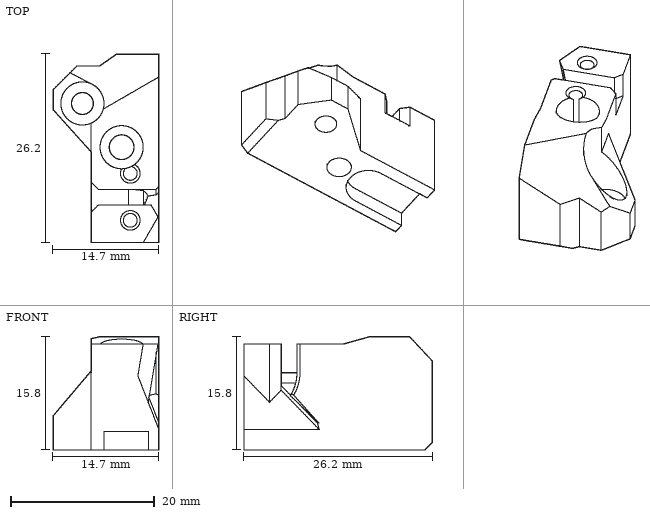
import cadquery as cq
import math

body_width = 9.43
arm_reach = 5.27
length = 26.2
height = 15.8
deck_height = 14.78
deck_end = 13.89
crest_start = 17.53
margin = 2.62

arm_root_y = 12.6
arm_tip_start = 18.45
arm_tip_end = 21.27
arm_back = 24.58
arm_back_left = -1.95
arm_back_right = 1.2
back_edge_left = 3.55
back_edge_chamfer = 1.05

arm_root_height = 11.0
arm_tip_height = 4.8

facet_turn = 30.0
facet_slope = 51.0
facet_y = 23.03

bore_diameter = 6.0
bore_floor = 4.0
arm_bore = (-1.2, 19.34, 3.0)
body_bore = (4.25, 13.25, 3.4)

screw_x = 5.45
screw_rows = (3.1, 9.62)
screw_diameter = 1.9
sink_diameter = 2.72
screw_depth = 6.55

slot_front = 5.25
slot_back = 7.4
slot_floor = 10.8
slot_chamfer = 1.02

channel_left = 1.8
channel_width = 6.18
channel_height = 2.6
channel_end = 10.87
channel_corner = bore_diameter / 2

relief_top_x = 5.2
relief_bend = (7.25, 9.33)
relief_foot = 3.77
relief_run = (body_width - relief_bend[0]) / (relief_bend[1] - relief_foot)
relief_rib = (7.9, 6.47, 7.57)
undercut_turn = 46.0
relief_edge_chamfer = 0.42

pocket_tip = (9.3, 3.56)
pocket_root_y = 5.2
pocket_wall_turn = 30.0
pocket_lean = 9.5
pocket_foot = 2.85


def prism_z(points, bottom, top):
    return cq.Workplane("XY").workplane(offset=bottom).polyline(points).close().extrude(top - bottom)


def prism_x(points, left, right):
    return cq.Workplane("YZ").workplane(offset=left).polyline(points).close().extrude(right - left)


def prism_y(points, front, back):
    return cq.Workplane("XZ").workplane(offset=-front).polyline(points).close().extrude(front - back)


def base_block():
    plan = prism_z(
        [
            (0, 0), (body_width, 0), (body_width, length), (back_edge_left, length),
            (arm_back_right, arm_back), (arm_back_left, arm_back),
            (-arm_reach, arm_tip_end), (-arm_reach, arm_tip_start), (0, arm_root_y),
        ],
        0, height,
    )
    side = prism_x(
        [
            (0, 0), (length - back_edge_chamfer, 0), (length, back_edge_chamfer), (length, height),
            (crest_start, height), (deck_end, deck_height), (0, deck_height),
        ],
        -arm_reach, body_width,
    )
    return plan.intersect(side)


def above_arm():
    rise = (arm_root_height - arm_tip_height) / arm_reach
    outer_x = -arm_reach - margin
    outer_z = arm_tip_height - rise * margin
    top = height + margin
    return prism_y([(0, arm_root_height), (0, top), (outer_x, top), (outer_x, outer_z)], 0, length)


def behind_facet():
    run = length
    drop = run * math.tan(math.radians(facet_slope))
    wedge = prism_x([(0, height), (run, height), (run, height - drop)], -length, length)
    wedge = wedge.rotate((0, 0, 0), (0, 0, 1), facet_turn)
    return wedge.translate((body_width, facet_y, 0))


def stepped_bore(x, y, through_diameter):
    bore = cq.Workplane("XY").workplane(offset=bore_floor).center(x, y).circle(bore_diameter / 2).extrude(height)
    hole = cq.Workplane("XY").center(x, y).circle(through_diameter / 2).extrude(height)
    return bore.union(hole)


def screw_hole(y):
    radius = screw_diameter / 2
    sink = sink_diameter / 2
    sink_depth = sink - radius
    profile = [
        (0, deck_height - screw_depth), (radius, deck_height - screw_depth),
        (radius, deck_height - sink_depth), (sink, deck_height), (0, deck_height),
    ]
    hole = cq.Workplane("XZ").polyline(profile).close().revolve(360, (0, 0), (0, 1))
    return hole.translate((screw_x, y, 0))


def cross_slot():
    plan = [
        (0, slot_front - slot_chamfer), (slot_chamfer, slot_front), (body_width, slot_front),
        (body_width, slot_back), (slot_chamfer, slot_back), (0, slot_back + slot_chamfer),
    ]
    return prism_z(plan, slot_floor, height)


def underside_channel():
    channel = cq.Workplane("XY").box(channel_width, channel_end, channel_height, centered=False)
    channel = channel.edges("|Z and >Y").fillet(channel_corner)
    return channel.translate((channel_left, 0, 0))


def in_front_of_rear_wall():
    top = height + margin
    rib_x, rib_y, rib_z = relief_rib
    outline = (
        cq.Workplane("YZ")
        .moveTo(-margin, rib_z)
        .lineTo(-margin, top)
        .lineTo(slot_back, top)
        .lineTo(slot_back, slot_floor)
        .tangentArcPoint((rib_y - slot_back, rib_z - slot_floor))
        .close()
    )
    wire = outline.wires().val()
    straight = cq.Solid.extrudeLinear(wire, [], cq.Vector(body_width, 0, 0))
    flare_wire = wire.translate(cq.Vector(body_width - relief_edge_chamfer, 0, 0))
    flare = cq.Solid.extrudeLinear(flare_wire, [], cq.Vector(relief_edge_chamfer, relief_edge_chamfer, 0))
    return cq.Workplane(straight).union(cq.Workplane(flare))


def below_undercut():
    slope = math.atan(relief_run)
    turn = math.radians(undercut_turn)
    normal = (-math.sin(slope) * math.cos(turn), math.sin(turn), math.cos(slope) * math.cos(turn))
    plane = cq.Plane(origin=relief_rib, xDir=(math.cos(slope), 0, math.sin(slope)), normal=normal)
    return cq.Workplane(plane).rect(2 * length, 2 * length).extrude(-length)


def side_relief():
    profile = [
        (relief_top_x, slot_floor), relief_bend, (body_width, relief_foot),
        (body_width, height), (relief_top_x, height),
    ]
    return prism_y(profile, slot_front, length)


def zigzag_pocket():
    spread = math.tan(math.radians(pocket_wall_turn))
    tip_x, tip_y = pocket_tip
    root_x = tip_x - (pocket_root_y - tip_y) * spread
    front_x = tip_x - (tip_y + margin) * spread
    end_x = root_x + (length - pocket_root_y) * spread
    far_x = end_x + margin
    plan = [
        (front_x, -margin), (tip_x, tip_y), (root_x, pocket_root_y),
        (end_x, length), (far_x, length), (far_x, -margin),
    ]
    wire = cq.Workplane("XY").workplane(offset=deck_height).polyline(plan).close().wires().val()
    lean = math.tan(math.radians(pocket_lean))
    walls = cq.Solid.extrudeLinear(wire, [], cq.Vector(-deck_height * lean, 0, -deck_height))

    floor_top_x = body_width - (deck_height - pocket_foot) * relief_run
    above_floor = prism_y(
        [(floor_top_x, deck_height), (body_width, pocket_foot), (body_width, deck_height)],
        -margin, length,
    )
    return above_floor.intersect(cq.Workplane(walls))


rear_limit = in_front_of_rear_wall().union(below_undercut())
result = base_block().cut(above_arm()).cut(behind_facet())
for bore in (arm_bore, body_bore):
    result = result.cut(stepped_bore(*bore))
result = result.cut(cross_slot()).cut(underside_channel())
for row in screw_rows:
    result = result.cut(screw_hole(row))
result = result.cut(side_relief().intersect(rear_limit))
result = result.cut(zigzag_pocket().intersect(rear_limit))